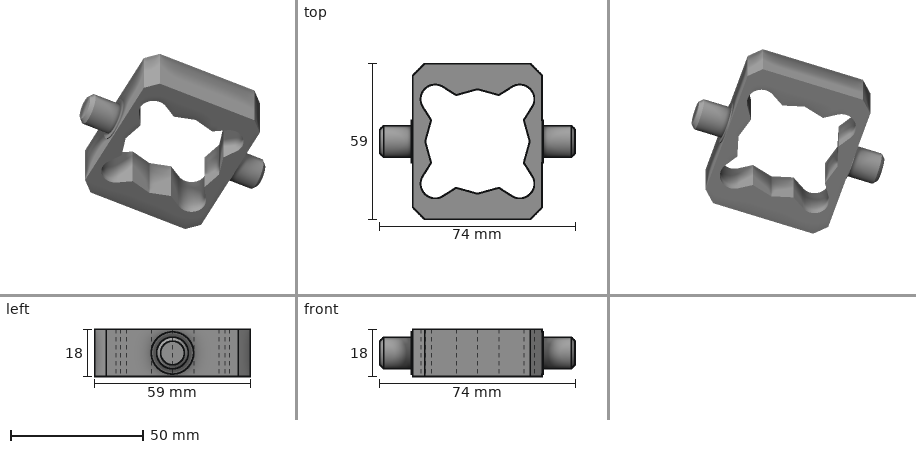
import cadquery as cq
import math

block_x = 49.0
block_y = 59.0
block_height = 18.0
corner_chamfer = 4.5

overall_x = 74.0
collar_diameter = 16.0
collar_thickness = 0.5
pin_diameter = 12.0
pin_chamfer = 1.5

lobe_center = 16.0
lobe_radius = 5.5
quarter_count = 4
point_offset = 8.1
point_depth = 17.5
notch_depth = 19.75


def make_block():
    block = cq.Workplane("XY").box(block_x, block_y, block_height)
    return block.edges("|Z").chamfer(corner_chamfer)


def rotate_quarters(point, quarters):
    """Rotate a 2D point about the origin by whole quarter turns."""
    x, y = point
    for _ in range(quarters):
        x, y = -y, x
    return (x, y)


def lobe_tangent_point():
    """Point where the line from the inward point on the +Y side touches the +X+Y lobe."""
    dx = lobe_center - point_offset
    dy = lobe_center - point_depth
    center_angle = math.atan2(dy, dx)
    tangent_angle = center_angle + math.asin(lobe_radius / math.hypot(dx, dy))
    return (
        lobe_center - lobe_radius * math.sin(tangent_angle),
        lobe_center + lobe_radius * math.cos(tangent_angle),
    )


def make_opening():
    tangent_x, tangent_y = lobe_tangent_point()
    lobe_tip = lobe_center + lobe_radius / math.sqrt(2)

    outline = cq.Workplane("XY").workplane(offset=-block_height / 2).moveTo(notch_depth, 0)
    for quarters in range(quarter_count):
        first_point = rotate_quarters((point_depth, point_offset), quarters)
        lobe_start = rotate_quarters((tangent_y, tangent_x), quarters)
        lobe_middle = rotate_quarters((lobe_tip, lobe_tip), quarters)
        lobe_end = rotate_quarters((tangent_x, tangent_y), quarters)
        second_point = rotate_quarters((point_offset, point_depth), quarters)
        next_notch = rotate_quarters((0, notch_depth), quarters)
        outline = outline.lineTo(*first_point).lineTo(*lobe_start)
        outline = outline.threePointArc(lobe_middle, lobe_end).lineTo(*second_point)
        if quarters < quarter_count - 1:
            outline = outline.lineTo(*next_notch)
    return outline.close().extrude(block_height)


def make_trunnion():
    """Collar and chamfered pin pointing along +X from the block face."""
    face_x = block_x / 2
    pin_length = overall_x / 2 - face_x
    face = cq.Workplane("YZ").workplane(offset=face_x)
    collar = face.circle(collar_diameter / 2).extrude(collar_thickness)
    pin = face.circle(pin_diameter / 2).extrude(pin_length).faces(">X").chamfer(pin_chamfer)
    return collar.union(pin)


trunnion = make_trunnion()
result = make_block().cut(make_opening()).union(trunnion).union(trunnion.mirror("YZ"))